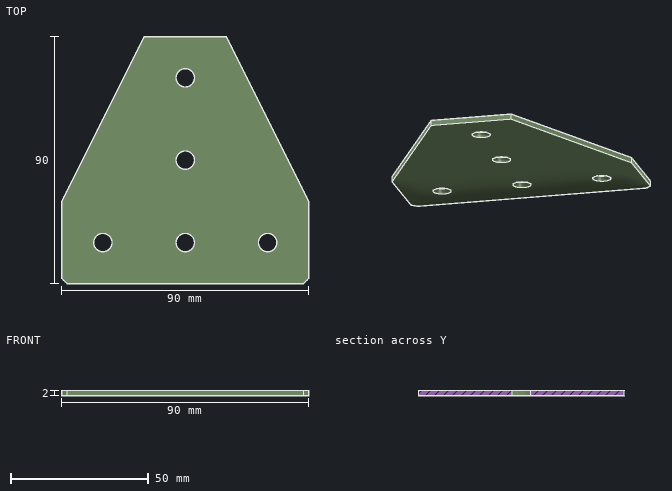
import cadquery as cq

hole_pitch = 30.0
thickness = 2.0
hole_diameter = 6.6
corner_chamfer = 2.0

edge_margin = hole_pitch / 2
half_width = hole_pitch + edge_margin
half_height = hole_pitch + edge_margin
half_top_width = edge_margin
shoulder_y = -half_height + 2 * edge_margin

crossbar_y = -hole_pitch
crossbar_holes = [(column * hole_pitch, crossbar_y) for column in (-1, 0, 1)]
stem_holes = [(0, crossbar_y + row * hole_pitch) for row in (1, 2)]


def make_plate():
    """Flat plate tapering from the shoulders to the narrow top edge."""
    outline = [
        (-half_width + corner_chamfer, -half_height),
        (half_width - corner_chamfer, -half_height),
        (half_width, -half_height + corner_chamfer),
        (half_width, shoulder_y),
        (half_top_width, half_height),
        (-half_top_width, half_height),
        (-half_width, shoulder_y),
        (-half_width, -half_height + corner_chamfer),
    ]
    return cq.Workplane("XY").polyline(outline).close().extrude(thickness)


def cut_bolt_holes(plate):
    """Through holes for the crossbar and stem bolts."""
    centres = crossbar_holes + stem_holes
    return plate.faces(">Z").workplane(origin=(0, 0, 0)).pushPoints(centres).hole(hole_diameter)


result = cut_bolt_holes(make_plate())